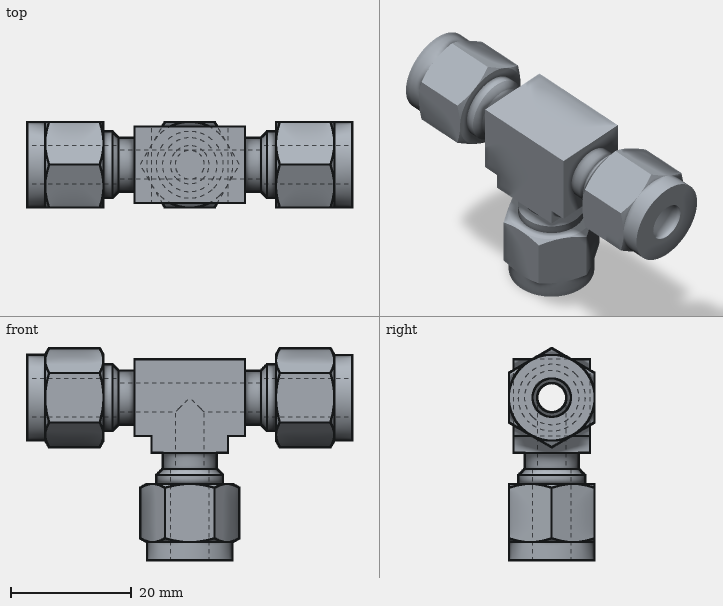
import cadquery as cq
import math


arm_length = 26.9
hex_across_flats = 14.2
body_width = 12.7
body_half_length = 9.15
neck_diameter = 9.0
shoulder_diameter = 11.1
bore_diameter = 4.8
socket_diameter = 6.35
socket_depth = 15.25

collar_length = 3.0
hex_length = 9.65
shoulder_length = 1.45
hex_chamfer_angle = 30.0

hex_outer = arm_length - collar_length
hex_inner = hex_outer - hex_length
shoulder_start = hex_inner - shoulder_length
cone_start = shoulder_start - (shoulder_diameter - neck_diameter) / 2

hex_flat_radius = hex_across_flats / 2
hex_corner_radius = hex_across_flats / math.sqrt(3)
hex_chamfer = (hex_corner_radius - hex_flat_radius) * math.tan(math.radians(hex_chamfer_angle))


def turned(profile):
    """Solid of revolution about Z from (radius, height) points."""
    return cq.Workplane("XZ").polyline(profile).close().revolve(360, (0, 0, 0), (0, 1, 0))


def make_nut_hex():
    """Hexagon with corners along X and both ends chamfered to the flats."""
    prism = (
        cq.Workplane("XY")
        .workplane(offset=hex_inner)
        .polygon(6, 2 * hex_corner_radius)
        .extrude(hex_length)
    )
    chamfer_envelope = turned([
        (0, hex_inner),
        (hex_flat_radius, hex_inner),
        (hex_corner_radius, hex_inner + hex_chamfer),
        (hex_corner_radius, hex_outer - hex_chamfer),
        (hex_flat_radius, hex_outer),
        (0, hex_outer),
    ])
    return prism.intersect(chamfer_envelope)


def make_arm():
    """Neck, coned shoulder, nut and collar of one port, pointing along +Z."""
    neck_radius = neck_diameter / 2
    shoulder_radius = shoulder_diameter / 2
    core = turned([
        (0, 0),
        (neck_radius, 0),
        (neck_radius, cone_start),
        (shoulder_radius, shoulder_start),
        (shoulder_radius, hex_outer),
        (hex_flat_radius, hex_outer),
        (hex_flat_radius, arm_length),
        (0, arm_length),
    ])
    return core.union(make_nut_hex())


def make_passage():
    """Bore and tube socket of one port, pointing along +Z."""
    bore = cq.Workplane("XY").circle(bore_diameter / 2).extrude(arm_length)
    socket = (
        cq.Workplane("XY")
        .workplane(offset=arm_length - socket_depth)
        .circle(socket_diameter / 2)
        .extrude(socket_depth)
    )
    return bore.union(socket)


def at_ports(feature):
    """The +Z feature turned to the -X, +X and -Z ports, as a list."""
    return [feature.rotate((0, 0, 0), (0, 1, 0), angle) for angle in (-90, 90, 180)]


def make_body():
    """Long block across X with a square foot below it."""
    block = cq.Workplane("XY").box(2 * body_half_length, body_width, body_width)
    foot = (
        cq.Workplane("XY")
        .rect(body_width, body_width)
        .extrude(-body_half_length)
    )
    return block.union(foot)


result = make_body()
for arm in at_ports(make_arm()):
    result = result.union(arm)
for passage in at_ports(make_passage()):
    result = result.cut(passage)